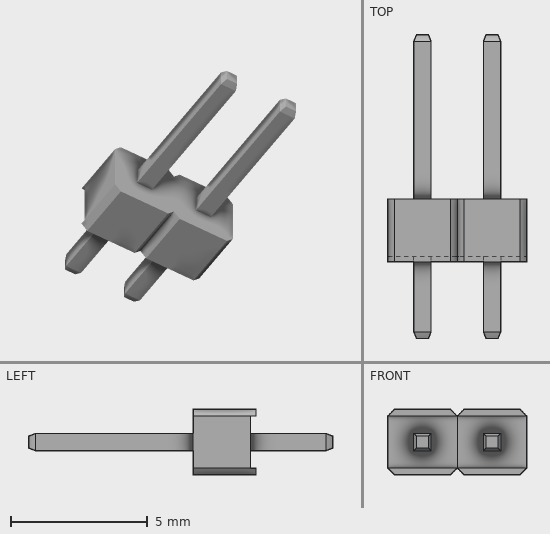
import cadquery as cq

positions = 2
pitch = 2.54

cell_height = 2.4
cell_depth = 2.3
corner_chamfer = 0.25
recess_depth = 0.2

pin_width = 0.64
pin_front_length = 2.8
pin_back_length = 6.0
tip_length = 0.25
tip_inset = 0.1

pin_front = -pin_front_length
pin_back = cell_depth + pin_back_length
shank_front = pin_front + tip_length
shank_length = pin_back - pin_front - 2 * tip_length
tip_width = pin_width - 2 * tip_inset
recess_height = cell_height - 2 * corner_chamfer


def make_insulator():
    """Block with chamfered long edges and a front recess leaving a lip at top and bottom."""
    block = cq.Workplane("XY").box(pitch, cell_depth, cell_height, centered=(True, False, True))
    block = block.edges("|Y").chamfer(corner_chamfer)
    recess = cq.Workplane("XY").box(pitch, recess_depth, recess_height, centered=(True, False, True))
    return block.cut(recess)


def make_tip():
    """Tapered front tip of the pin, narrowing from the shank to the end face."""
    return (
        cq.Workplane("XZ", origin=(0, shank_front, 0))
        .rect(pin_width, pin_width)
        .workplane(offset=tip_length)
        .rect(tip_width, tip_width)
        .loft(ruled=True)
    )


def make_pin():
    """Square shank with the same tapered tip at both ends."""
    shank_middle = (pin_front + pin_back) / 2
    front_tip = make_tip()
    back_tip = front_tip.mirror("XZ", (0, shank_middle, 0))
    shank = cq.Workplane("XY").box(pin_width, shank_length, pin_width).translate((0, shank_middle, 0))
    return shank.union(front_tip).union(back_tip)


def make_header_position(x):
    """One insulator cell with its pin, centred at the given X."""
    return make_insulator().union(make_pin()).translate((x, 0, 0))


first_x = -pitch * (positions - 1) / 2
header_positions = [make_header_position(first_x + index * pitch) for index in range(positions)]

result = cq.Compound.makeCompound([position.solids().val() for position in header_positions])